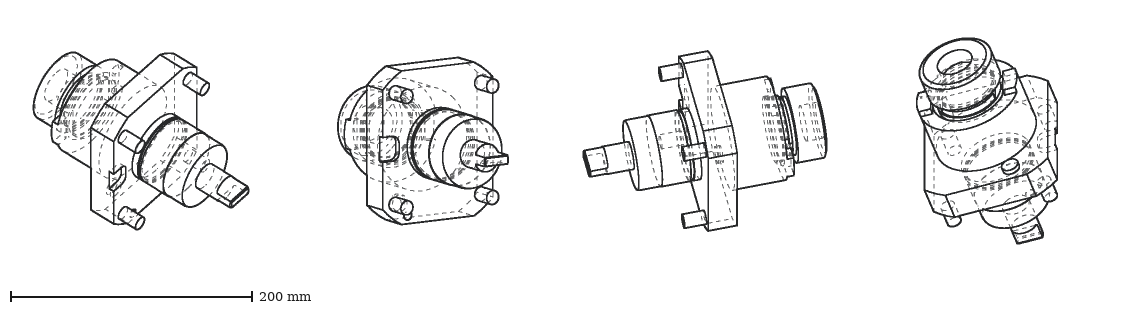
import cadquery as cq
length = 198.7
flange_width = 108.0
flange_height = 130.0
flange_corner_radius = 74.1

nut_radius = 31.5
nut_end = 25.2
nut_chamfer_length = 2.0
nut_chamfer_depth = 4.0
bore_radius = 15.0
bore_depth = 14.0

step_radius = 24.8
step_end = 28.2
neck_radius = 24.0
neck_end = 31.2
ring_radius = 26.8
wrench_flat_distance = 23.0

housing_radius = 44.0
housing_start = 37.1
tab_start = 31.5
tab_height = 24.8

gap_outer_radius = 31.5
gap_depth = 5.0
hub_radius = 28.0

flange_start = 82.6
flange_end = 107.3

shank_radius = 30.2
groove_start = 113.2
groove_end = 116.2
o_ring_depth = 0.5
pilot_radius = 29.8
pilot_start = 140.7
pilot_end = 160.5
pilot_chamfer_length = 2.0
pilot_chamfer_depth = 0.5

drive_radius = 11.7
tang_start = 182.5
tang_thickness = 7.7
tang_root_fillet = 1.8
tang_chamfer_length = 1.2
tang_chamfer_depth = 0.5

bolt_radius = 6.0
bolt_end = 125.8
bolt_spacing_y = 84.2
bolt_spacing_z = 94.2

plug_radius = 7.2
plug_start = 78.5
plug_y = -22.0
plug_z = -52.0
seal_radius = 3.8
seal_height = 0.5
seal_y = -29.8
seal_z = -57.8

slot_height = 21.0
slot_depth = 5.0
slot_length = 15.9
slot_corner_radius = 6.5


def cylinder(start, end, radius, y=0.0, z=0.0):
    """Cylinder along X between two stations."""
    return cq.Workplane("YZ", origin=(start, y, z)).circle(radius).extrude(end - start)


def block(start, end, width, height, y=0.0):
    """Box between two X stations, centred on z = 0."""
    return cq.Workplane("YZ", origin=(start, y, 0)).rect(width, height).extrude(end - start)


def end_chamfer(body, face, along, across):
    """Chamfer an end face, given the chamfer length along X and its depth across the face."""
    return body.faces(face).chamfer(along, across)


def make_nut():
    nut = cylinder(0, nut_end, nut_radius)
    return end_chamfer(nut, "<X", nut_chamfer_length, nut_chamfer_depth)


def make_nose():
    flatted = cylinder(step_end, neck_end, neck_radius)
    flatted = flatted.union(cylinder(neck_end, housing_start, ring_radius))
    flats = block(step_end, housing_start, 2 * wrench_flat_distance, 2 * ring_radius)
    return cylinder(nut_end, step_end, step_radius).union(flatted.intersect(flats))


def make_housing():
    tabs = cylinder(tab_start, housing_start, housing_radius)
    tabs = tabs.intersect(block(tab_start, housing_start, 2 * housing_radius, tab_height))
    tabs = tabs.cut(block(tab_start, housing_start, 2 * gap_outer_radius, tab_height))
    gap = (
        cq.Workplane("XY")
        .moveTo(housing_start, hub_radius)
        .lineTo(housing_start, gap_outer_radius)
        .lineTo(housing_start + gap_depth, hub_radius)
        .close()
        .revolve(360, (0, 0, 0), (1, 0, 0))
    )
    return cylinder(housing_start, flange_start, housing_radius).cut(gap).union(tabs)


def make_flange():
    plate = block(flange_start, flange_end, flange_width, flange_height)
    return plate.intersect(cylinder(flange_start, flange_end, flange_corner_radius))


def make_key_slot():
    side = -flange_width / 2
    slot = block(flange_end - slot_depth, flange_end, 2 * slot_length, slot_height, side)
    return slot.edges("|X").fillet(slot_corner_radius)


def make_o_ring_groove():
    """Ring-shaped cut that leaves the rounded outer half of the O-ring standing."""
    o_ring_crest = shank_radius - o_ring_depth
    o_ring_centre = o_ring_crest - (groove_end - groove_start) / 2
    profile = (
        cq.Workplane("XY")
        .moveTo(groove_start, shank_radius)
        .lineTo(groove_start, o_ring_centre)
        .threePointArc(((groove_start + groove_end) / 2, o_ring_crest), (groove_end, o_ring_centre))
        .lineTo(groove_end, shank_radius)
        .close()
    )
    return profile.revolve(360, (0, 0, 0), (1, 0, 0))


def make_shank():
    shank = cylinder(flange_end, pilot_start, shank_radius).cut(make_o_ring_groove())
    pilot = cylinder(pilot_start, pilot_end, pilot_radius)
    pilot = end_chamfer(pilot, ">X", pilot_chamfer_length, pilot_chamfer_depth)
    return shank.union(pilot)


def make_drive():
    shaft = cylinder(pilot_end, length, drive_radius)
    shaft = end_chamfer(shaft, ">X", tang_chamfer_length, tang_chamfer_depth)
    for side in (-1, 1):
        relief_z = side * (tang_thickness / 2 + drive_radius / 2)
        relief = cq.Workplane("XY").box(
            2 * (length - tang_start), 2 * drive_radius, drive_radius
        ).translate((length, 0, relief_z))
        inner_edge = "<Z" if side > 0 else ">Z"
        relief = relief.faces("<X").edges(inner_edge).fillet(tang_root_fillet)
        shaft = shaft.cut(relief)
    flat_edges = shaft.faces(">X").edges("|Y")
    return flat_edges.chamfer(tang_chamfer_length, tang_chamfer_depth)


result = make_flange().cut(make_key_slot())
for section in (make_nut(), make_nose(), make_housing(), make_shank(), make_drive()):
    result = result.union(section)

for bolt_y in (-bolt_spacing_y / 2, bolt_spacing_y / 2):
    for bolt_z in (-bolt_spacing_z / 2, bolt_spacing_z / 2):
        result = result.union(cylinder(flange_end, bolt_end, bolt_radius, bolt_y, bolt_z))

result = result.union(cylinder(plug_start, flange_start, plug_radius, plug_y, plug_z))
result = result.union(cylinder(flange_end, flange_end + seal_height, seal_radius, seal_y, seal_z))
result = result.cut(cylinder(0, bore_depth, bore_radius))